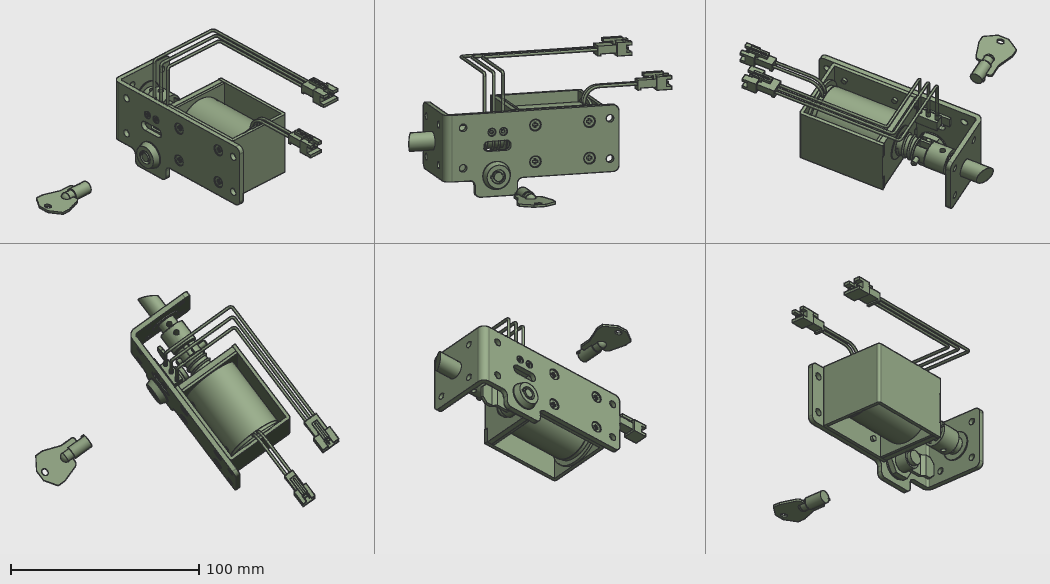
import cadquery as cq
import math


BRACKET_LENGTH = 96.8
BRACKET_DEPTH = 39.1
BRACKET_HEIGHT = 36.2
SHEET = 2.8
BEND_OUTER_RADIUS = 4.1
BRACKET_CORNER = 3.2
TAB_WIDTH = 23.5
TAB_BOTTOM = -27.4
TAB_CORNER = 3.0
MOUNT_HOLE_X = (10.3, 91.9)
MOUNT_HOLE_Z = 11.0
MOUNT_HOLE_DIA = 4.1
LEG_HOLE_DIA = 3.7
SLOT_LENGTH = 15.2
SLOT_WIDTH = 5.4
SLOT_X = 29.3

AXIS_Y = 22.5
BOLT_RADIUS = 5.0
BOLT_TIP_X = -14.6
BOLT_BEVEL_LENGTH = 5.0
COLLAR_RADIUS = 7.2
COLLAR_START = 8.8
COLLAR_END = 20.5
CROSS_HOLE_DIA = 3.0
CROSS_HOLE_X = (6.7, 13.0)
STOP_WASHER_RADIUS = 8.2
STOP_WASHER_THICKNESS = 0.7
ROD_RADIUS = 1.8
ROD_END = 27.4
PLUNGER_RADIUS = 6.0
PLUNGER_START = 21.2
PLUNGER_END = 65.9
FORK_END = 27.4
RETAINER_START = 27.7
RETAINER_END = 28.9
RETAINER_RADIUS = 6.7
LINK_PIN_X = 25.3
LINK_PIN_DIA = 1.8
LINK_HEAD_DIA = 3.1
LINK_HEAD_CHAMFER = 0.6
LINK_PIN_FRONT = 13.8
LINK_PIN_BACK = 33.0
SPRING_START = 29.7
SPRING_PITCH = 3.2
SPRING_TURNS = 2.3
SPRING_WIRE_RADIUS = 0.6

FRAME_START = 38.5
FRAME_END = 88.5
FRAME_WALL = 1.9
FRAME_BACK = 42.5
FRAME_CORNER = 1.5
FACE_PLATE_START = 38.8
FACE_PLATE_END = 41.9
FACE_TAB_HALF = 8.8
FACE_PLATE_DROP = 0.1
BOBBIN_PLATE_END = 43.4
BOBBIN_PLATE_DROP = 0.3
COIL_RADIUS = 15.5
COIL_END = 82.8
CORE_RADIUS = 15.1
END_FLANGE_START = 85.1
SEAT_RADIUS = 9.7
SEAT_START = 38.2

FRAME_SCREW_X = (50.4, 80.5)
FRAME_SCREW_Z = 10.0
FRAME_SCREW_TIP = 6.3
FRAME_SHANK_RADIUS = 1.5
FRAME_HEAD_RADIUS = 3.2
SWITCH_SCREW_X = (26.2, 32.7)
SWITCH_SCREW_Z = 7.6
SWITCH_SHANK_RADIUS = 1.0
SWITCH_HEAD_RADIUS = 2.2
SINK_DEPTH = 2.0
HEAD_DROP = 0.5
CROSS_WIDTH = 1.0
CROSS_DEPTH = 0.7

WIRE_RADIUS = 0.7
WIRE_PITCH = 2.6
COIL_WIRE_PITCH = 3.0
SWITCH_WIRE_Z = 38.4
SWITCH_WIRE_BEND = 1.8
SWITCH_PLUG_X = 98.6
SWITCH_PLUG_Y = 47.8
COIL_WIRE_Z = 23.9
COIL_WIRE_BEND = 8.2
COIL_WIRE_X = 84.0
COIL_PLUG_X = 113.4
PLUG_LENGTH = 18.5
PLUG_REAR_LENGTH = 10.3
PLUG_REAR_HALF = 2.2
PLUG_HEAD_HALF = 3.7
PLUG_LIP_LENGTH = 1.6
PLUG_LIP_DROP = 1.0
SOCKET_START = 15.5
SOCKET_HALF = 1.9
CONTACT_SIZE = 0.6
CONTACT_END = 17.3
LATCH_WIDTH = 3.4
LATCH_START = 3.7
LATCH_END = 14.5
LATCH_BOTTOM = 3.8
LATCH_TIP_BOTTOM = 4.2
LATCH_TOP = 5.5
LATCH_GROOVE_START = 4.7
LATCH_GROOVE_WIDTH = 1.0
LATCH_GROOVE_DEPTH = 0.6
LATCH_POST_START = 9.0

SWITCH_START = 23.0
SWITCH_END = 35.9
SWITCH_BACK = 9.7
SWITCH_BOTTOM = 4.2
SWITCH_TOP = 10.8
SWITCH_BASE_START = 18.2
SWITCH_BASE_END = 37.2
SWITCH_BASE_BACK = 4.2
SWITCH_BASE_TOP = 10.4
TERMINAL_X = (24.3, 29.5, 34.6)
TERMINAL_Y = 7.0
TERMINAL_TOP = 14.2
TERMINAL_RADIUS = 1.2

LOCK_X = 28.7
LOCK_Z = -16.0
LOCK_RIM_RADIUS = 7.6
LOCK_RIM_HEIGHT = 0.6
LOCK_FACE_RADIUS = 6.37
LOCK_FACE_Y = -4.1
KEYWAY_RADIUS = 3.8
KEYWAY_CORE_RADIUS = 2.5
KEYWAY_DEPTH = 2.2
KEYWAY_NOTCH_RADIUS = 4.4
KEYWAY_NOTCH_WIDTH = 1.0
BARREL_RADIUS = 5.3
BARREL_END = 13.9
LOCK_WASHER_RADIUS = 7.9
LOCK_WASHER_END = 3.7
LOCK_NUT_DIA = 17.6
LOCK_NUT_END = 6.9
CAM_NUT_RADIUS = 4.1
CAM_NUT_END = 16.4
CAM_END_X = 10.4
CAM_FRONT = 10.0
CAM_THICKNESS = 1.6
CAM_JOG = 2.0
CAM_JOG_START = 16.8
CAM_JOG_END = 18.9
CAM_TOP = -8.2
CAM_BOTTOM = -21.0
CAM_CORNER = 3.0

KEY_BARREL_RADIUS = 3.5
KEY_BARREL_START = -47.2
KEY_BARREL_END = -58.2
KEY_NECK_RADIUS = 2.85
KEY_NECK_END = -62.3
KEY_TIP_RADIUS = 3.1
KEY_TIP_LENGTH = 2.6
KEY_TIP_ROUND = 3.2
KEY_NUB_RADIUS = 4.2
KEY_NUB_SIZE = 1.0
KEY_NUB_LENGTH = 1.8
KEY_PLATE_THICKNESS = 1.3
KEY_HALF_WIDTH = 10.1
KEY_SHOULDER_X = 6.6
KEY_LEFT_SHOULDER_Y = -52.2
KEY_LEFT_FLARE_Y = -60.4
KEY_LEFT_ROUND = 1.5
KEY_RIGHT_SHOULDER_Y = -59.3
KEY_RIGHT_ROUND = 2.6
KEY_SIDE_TOP = -70.0
KEY_SIDE_BOTTOM = -74.4
KEY_FOOT_HALF = 3.2
KEY_FOOT_Y = -79.0
KEY_HOLE_LENGTH = 4.0
KEY_HOLE_WIDTH = 3.0
KEY_HOLE_Y = -75.7


def box(x0, x1, y0, y1, z0, z1):
    """Axis-aligned block between the given limits."""
    return cq.Workplane("XY").box(x1 - x0, y1 - y0, z1 - z0, centered=False).translate((x0, y0, z0))


def rod_x(x0, x1, radius):
    """Cylinder on the bolt axis."""
    return cq.Workplane("YZ", origin=(x0, AXIS_Y, 0)).circle(radius).extrude(x1 - x0)


def rod_y(y0, y1, radius, x, z):
    """Cylinder parallel to Y."""
    return cq.Workplane("XZ", origin=(x, y0, z)).circle(radius).extrude(y0 - y1)


def turned_y(profile, x, z):
    """Solid turned about an axis parallel to Y; the profile lists (radius, y)."""
    turned = cq.Workplane("XY").polyline(profile).close().revolve(360, (0, 0, 0), (0, 1, 0))
    return turned.translate((x, 0, z))


def countersink(x, z, head_radius, shank_radius):
    """Screw hole through the sheet with a conical seat at its outer face."""
    profile = [(0, 0), (head_radius, 0), (shank_radius, SINK_DEPTH), (shank_radius, SHEET), (0, SHEET)]
    return turned_y(profile, x, z)


def screw(x, z, head_radius, shank_radius, tip):
    """Countersunk screw whose head sits a little below the outer face."""
    flat_radius = head_radius - (head_radius - shank_radius) * HEAD_DROP / SINK_DEPTH
    profile = [
        (0, HEAD_DROP),
        (flat_radius, HEAD_DROP),
        (shank_radius, SINK_DEPTH),
        (shank_radius, tip),
        (0, tip),
    ]
    recess = cq.Workplane("XZ", origin=(x, HEAD_DROP, z)).rect(flat_radius, CROSS_WIDTH)
    recess = recess.extrude(-CROSS_DEPTH)
    recess = recess.union(recess.rotate((x, 0, z), (x, 1, z), 90))
    return turned_y(profile, x, z).cut(recess)


def frame_screw_places():
    """Centres of the four screws that hold the solenoid."""
    return [(x, z) for x in FRAME_SCREW_X for z in (-FRAME_SCREW_Z, FRAME_SCREW_Z)]


def wire(path, start, direction):
    """Round wire swept along a path."""
    return cq.Workplane(cq.Plane(start, normal=direction)).circle(WIRE_RADIUS).sweep(path)


def plug(poles):
    """Cable plug with its rear face at X = 0 and its wires around the origin."""
    rear_half = poles * WIRE_PITCH / 2
    head_half = rear_half + WIRE_PITCH / 2
    latch_half = LATCH_WIDTH / 2
    groove_half = LATCH_GROOVE_WIDTH / 2
    body = box(0, PLUG_REAR_LENGTH, -rear_half, rear_half, -PLUG_REAR_HALF, PLUG_REAR_HALF)
    lip_bottom = -PLUG_REAR_HALF - PLUG_LIP_DROP
    body = body.union(box(0, PLUG_LIP_LENGTH, -rear_half, rear_half, lip_bottom, 0))
    head = box(PLUG_REAR_LENGTH, PLUG_LENGTH, -head_half, head_half, -PLUG_HEAD_HALF, PLUG_HEAD_HALF)
    head = head.cut(box(SOCKET_START, PLUG_LENGTH, -head_half, head_half, -SOCKET_HALF, SOCKET_HALF))
    head = head.cut(box(LATCH_END, PLUG_LENGTH, -latch_half, latch_half, 0, PLUG_HEAD_HALF))
    body = body.union(head)
    for i in range(poles):
        y = (i - (poles - 1) / 2) * WIRE_PITCH
        half = CONTACT_SIZE / 2
        body = body.union(box(PLUG_REAR_LENGTH, CONTACT_END, y - half, y + half, -half, half))
    latch = box(LATCH_START, LATCH_END, -latch_half, latch_half, LATCH_BOTTOM, LATCH_TOP)
    latch = latch.cut(box(PLUG_REAR_LENGTH, LATCH_END, -latch_half, latch_half, 0, LATCH_TIP_BOTTOM))
    groove_floor = LATCH_TOP - LATCH_GROOVE_DEPTH
    latch = latch.cut(box(LATCH_GROOVE_START, LATCH_END, -groove_half, groove_half, groove_floor, LATCH_TOP))
    post = box(LATCH_POST_START, PLUG_REAR_LENGTH, -latch_half, latch_half, 0, LATCH_TIP_BOTTOM)
    return body.union(latch).union(post)


def make_bracket():
    """L-shaped sheet with a tab for the lock and all its holes."""
    top = BRACKET_HEIGHT / 2
    outer = box(0, BRACKET_LENGTH, 0, BRACKET_DEPTH, -top, top)
    outer = outer.edges("|Z and <X and <Y").fillet(BEND_OUTER_RADIUS)
    inner = box(SHEET, BRACKET_LENGTH, SHEET, BRACKET_DEPTH, -top, top)
    inner = inner.edges("|Z and <X and <Y").fillet(BEND_OUTER_RADIUS - SHEET)
    bracket = outer.cut(inner)
    bracket = bracket.edges("(|Y and >X) or (|X and >Y)").fillet(BRACKET_CORNER)

    tab_left = LOCK_X - TAB_WIDTH / 2
    tab_right = LOCK_X + TAB_WIDTH / 2
    tab = box(tab_left, tab_right, 0, SHEET, TAB_BOTTOM, 0).edges("|Y and <Z").fillet(TAB_CORNER)
    bracket = bracket.union(tab)
    for x in (tab_left, tab_right):
        root = cq.selectors.NearestToPointSelector((x, SHEET / 2, -top))
        bracket = bracket.edges(root).fillet(TAB_CORNER)

    for z in (-MOUNT_HOLE_Z, MOUNT_HOLE_Z):
        for x in MOUNT_HOLE_X:
            bracket = bracket.cut(rod_y(0, SHEET, MOUNT_HOLE_DIA / 2, x, z))
        for y in (AXIS_Y - MOUNT_HOLE_Z, AXIS_Y + MOUNT_HOLE_Z):
            leg_hole = cq.Workplane("YZ", origin=(0, y, z)).circle(LEG_HOLE_DIA / 2)
            bracket = bracket.cut(leg_hole.extrude(SHEET))
    slot = cq.Workplane("XZ", origin=(SLOT_X, 0, 0)).slot2D(SLOT_LENGTH, SLOT_WIDTH).extrude(-SHEET)
    bracket = bracket.cut(slot)
    bracket = bracket.cut(rod_x(0, SHEET, BOLT_RADIUS))
    bracket = bracket.cut(rod_y(0, SHEET, BARREL_RADIUS, LOCK_X, LOCK_Z))
    for x, z in frame_screw_places():
        bracket = bracket.cut(countersink(x, z, FRAME_HEAD_RADIUS, FRAME_SHANK_RADIUS))
    for x in SWITCH_SCREW_X:
        bracket = bracket.cut(countersink(x, SWITCH_SCREW_Z, SWITCH_HEAD_RADIUS, SWITCH_SHANK_RADIUS))
    return bracket


def solenoid_frame():
    """U-shaped yoke, notched at its open end and closed by a face plate."""
    top = BRACKET_HEIGHT / 2
    front = SHEET + FRAME_WALL
    back = FRAME_BACK - FRAME_WALL
    inner_end = FRAME_END - FRAME_WALL
    frame = box(FRAME_START, FRAME_END, SHEET, FRAME_BACK, -top, top).edges("|Z and >X").fillet(FRAME_CORNER)
    frame = frame.cut(box(FRAME_START, inner_end, front, back, -top, top))
    notch = box(FRAME_START, FACE_PLATE_START, SHEET, FRAME_BACK, -FACE_TAB_HALF, FACE_TAB_HALF)
    face_top = top - FACE_PLATE_DROP
    face_plate = box(FACE_PLATE_START, FACE_PLATE_END, front, back, -face_top, face_top)
    bobbin_top = top - BOBBIN_PLATE_DROP
    bobbin_plate = box(FACE_PLATE_END, BOBBIN_PLATE_END, front, back, -bobbin_top, bobbin_top)
    return frame.cut(notch).union(face_plate).union(bobbin_plate)


def make_solenoid():
    """Yoke, coil, fixing screws and the coil's two-wire cable with its plug."""
    inner_end = FRAME_END - FRAME_WALL
    flange_radius = AXIS_Y - SHEET - FRAME_WALL
    solenoid = solenoid_frame()
    solenoid = solenoid.union(rod_x(FACE_PLATE_END, COIL_END, COIL_RADIUS))
    solenoid = solenoid.union(rod_x(COIL_END, inner_end, CORE_RADIUS))
    solenoid = solenoid.union(rod_x(END_FLANGE_START, inner_end, flange_radius))
    solenoid = solenoid.union(rod_x(SEAT_START, FACE_PLATE_END, SEAT_RADIUS))
    solenoid = solenoid.cut(rod_x(SEAT_START, PLUNGER_END, PLUNGER_RADIUS))
    for x, z in frame_screw_places():
        solenoid = solenoid.union(screw(x, z, FRAME_HEAD_RADIUS, FRAME_SHANK_RADIUS, FRAME_SCREW_TIP))

    wire_foot = CORE_RADIUS - 2 * WIRE_RADIUS
    corner_z = COIL_WIRE_Z - COIL_WIRE_BEND
    middle_angle = math.radians(45)
    middle_x = COIL_WIRE_X + COIL_WIRE_BEND * (1 - math.cos(middle_angle))
    middle_z = corner_z + COIL_WIRE_BEND * math.sin(middle_angle)
    for y in (AXIS_Y - COIL_WIRE_PITCH / 2, AXIS_Y + COIL_WIRE_PITCH / 2):
        path = (
            cq.Workplane("XZ", origin=(0, y, 0))
            .moveTo(COIL_WIRE_X, wire_foot)
            .lineTo(COIL_WIRE_X, corner_z)
            .threePointArc((middle_x, middle_z), (COIL_WIRE_X + COIL_WIRE_BEND, COIL_WIRE_Z))
            .lineTo(COIL_PLUG_X + WIRE_RADIUS, COIL_WIRE_Z)
        )
        solenoid = solenoid.union(wire(path, (COIL_WIRE_X, y, wire_foot), (0, 0, 1)))
    return solenoid.union(plug(2).translate((COIL_PLUG_X, AXIS_Y, COIL_WIRE_Z)))


def make_bolt():
    """Bevelled bolt with a stop washer, a drilled collar and the rod that enters the plunger."""
    bolt = rod_x(BOLT_TIP_X, COLLAR_START, BOLT_RADIUS)
    front = AXIS_Y - BOLT_RADIUS
    back = AXIS_Y + BOLT_RADIUS
    bevel = [(BOLT_TIP_X, front), (BOLT_TIP_X + BOLT_BEVEL_LENGTH, back), (BOLT_TIP_X, back)]
    wedge = cq.Workplane("XY").polyline(bevel).close().extrude(BOLT_RADIUS, both=True)
    bolt = bolt.cut(wedge)
    bolt = bolt.union(rod_x(SHEET, SHEET + STOP_WASHER_THICKNESS, STOP_WASHER_RADIUS))
    bolt = bolt.union(rod_x(COLLAR_START, COLLAR_END, COLLAR_RADIUS))
    bolt = bolt.union(rod_x(COLLAR_END, ROD_END, ROD_RADIUS))
    for x in CROSS_HOLE_X:
        hole = cq.Workplane("XY", origin=(x, AXIS_Y, 0)).circle(CROSS_HOLE_DIA / 2)
        bolt = bolt.cut(hole.extrude(COLLAR_RADIUS, both=True))
    return bolt.cut(rod_y(LINK_PIN_FRONT, LINK_PIN_BACK, LINK_PIN_DIA / 2, LINK_PIN_X, 0))


def return_spring():
    """Helical wire partly sunk into the plunger surface."""
    coil_radius = PLUNGER_RADIUS + SPRING_WIRE_RADIUS / 2
    length = SPRING_PITCH * SPRING_TURNS
    helix = cq.Wire.makeHelix(SPRING_PITCH, length, coil_radius)
    section = cq.Workplane("XZ", origin=(coil_radius, 0, 0)).circle(SPRING_WIRE_RADIUS)
    spring = section.sweep(helix, isFrenet=True)
    return spring.rotate((0, 0, 0), (0, 1, 0), 90).translate((SPRING_START, AXIS_Y, 0))


def make_plunger():
    """Forked plunger with its link pin, retaining ring and return spring."""
    plunger = rod_x(PLUNGER_START, PLUNGER_END, PLUNGER_RADIUS)
    fork_slot = box(
        PLUNGER_START, FORK_END, AXIS_Y - ROD_RADIUS, AXIS_Y + ROD_RADIUS, -PLUNGER_RADIUS, PLUNGER_RADIUS
    )
    plunger = plunger.cut(fork_slot)
    pin = rod_y(LINK_PIN_FRONT, LINK_PIN_BACK, LINK_HEAD_DIA / 2, LINK_PIN_X, 0)
    pin = pin.faces("<Y or >Y").chamfer(LINK_HEAD_CHAMFER).cut(fork_slot)
    shank = rod_y(LINK_PIN_FRONT, LINK_PIN_BACK, LINK_PIN_DIA / 2, LINK_PIN_X, 0)
    retainer = rod_x(RETAINER_START, RETAINER_END, RETAINER_RADIUS)
    return plunger.union(retainer).union(pin).union(shank).union(return_spring())


def lock_cam():
    """Cranked arm from the lock barrel toward the bolt end of the bracket."""
    jog_front = CAM_FRONT + CAM_JOG
    crank = [
        (CAM_END_X, jog_front),
        (CAM_JOG_START, jog_front),
        (CAM_JOG_END, CAM_FRONT),
        (LOCK_X, CAM_FRONT),
        (LOCK_X, CAM_FRONT + CAM_THICKNESS),
        (CAM_JOG_END, CAM_FRONT + CAM_THICKNESS),
        (CAM_JOG_START, jog_front + CAM_THICKNESS),
        (CAM_END_X, jog_front + CAM_THICKNESS),
    ]
    arm = cq.Workplane("XY", origin=(0, 0, CAM_BOTTOM)).polyline(crank).close().extrude(CAM_TOP - CAM_BOTTOM)
    return arm.edges("|Y and <X").chamfer(CAM_CORNER)


def make_lock():
    """Tubular lock with its washer, nut, cam and cam nut."""
    head = [
        (0, 0),
        (LOCK_RIM_RADIUS, 0),
        (LOCK_RIM_RADIUS, -LOCK_RIM_HEIGHT),
        (LOCK_FACE_RADIUS, LOCK_FACE_Y),
        (0, LOCK_FACE_Y),
    ]
    floor = LOCK_FACE_Y + KEYWAY_DEPTH
    keyway = rod_y(LOCK_FACE_Y, floor, KEYWAY_RADIUS, LOCK_X, LOCK_Z)
    half = KEYWAY_NOTCH_WIDTH / 2
    notch = box(LOCK_X - KEYWAY_NOTCH_RADIUS, LOCK_X, LOCK_FACE_Y, floor, LOCK_Z - half, LOCK_Z + half)
    core = rod_y(LOCK_FACE_Y, floor, KEYWAY_CORE_RADIUS, LOCK_X, LOCK_Z)
    lock = turned_y(head, LOCK_X, LOCK_Z).cut(keyway.union(notch).cut(core))

    nut = cq.Workplane("XZ", origin=(LOCK_X, LOCK_WASHER_END, LOCK_Z)).polygon(6, LOCK_NUT_DIA)
    lock = lock.union(rod_y(0, BARREL_END, BARREL_RADIUS, LOCK_X, LOCK_Z))
    lock = lock.union(rod_y(SHEET, LOCK_WASHER_END, LOCK_WASHER_RADIUS, LOCK_X, LOCK_Z))
    lock = lock.union(nut.extrude(LOCK_WASHER_END - LOCK_NUT_END))
    lock = lock.union(rod_y(BARREL_END, CAM_NUT_END, CAM_NUT_RADIUS, LOCK_X, LOCK_Z))
    return lock.union(lock_cam())


def switch_wire(x, run_y):
    """Wire that rises from a terminal, turns back in +Y and then runs along X into the plug."""
    bend = SWITCH_WIRE_BEND
    inset = bend * (1 - math.sqrt(0.5))
    rise_start = cq.Vector(x, TERMINAL_Y, SWITCH_TOP)
    rise_end = cq.Vector(x, TERMINAL_Y, SWITCH_WIRE_Z - bend)
    first_middle = cq.Vector(x, TERMINAL_Y + inset, SWITCH_WIRE_Z - inset)
    reach_start = cq.Vector(x, TERMINAL_Y + bend, SWITCH_WIRE_Z)
    reach_end = cq.Vector(x, run_y - bend, SWITCH_WIRE_Z)
    second_middle = cq.Vector(x + inset, run_y - inset, SWITCH_WIRE_Z)
    run_start = cq.Vector(x + bend, run_y, SWITCH_WIRE_Z)
    run_end = cq.Vector(SWITCH_PLUG_X + WIRE_RADIUS, run_y, SWITCH_WIRE_Z)
    path = cq.Wire.assembleEdges(
        [
            cq.Edge.makeLine(rise_start, rise_end),
            cq.Edge.makeThreePointArc(rise_end, first_middle, reach_start),
            cq.Edge.makeLine(reach_start, reach_end),
            cq.Edge.makeThreePointArc(reach_end, second_middle, run_start),
            cq.Edge.makeLine(run_start, run_end),
        ]
    )
    return wire(path, (x, TERMINAL_Y, SWITCH_TOP), (0, 0, 1))


def make_switch():
    """Microswitch on its base, with its screws and three-wire cable."""
    switch = box(SWITCH_START, SWITCH_END, SWITCH_BASE_BACK, SWITCH_BACK, SWITCH_BOTTOM, SWITCH_TOP)
    base = box(SWITCH_BASE_START, SWITCH_BASE_END, SHEET, SWITCH_BASE_BACK, SWITCH_BOTTOM, SWITCH_BASE_TOP)
    switch = switch.union(base)
    for x in SWITCH_SCREW_X:
        switch = switch.union(screw(x, SWITCH_SCREW_Z, SWITCH_HEAD_RADIUS, SWITCH_SHANK_RADIUS, SWITCH_BACK))
    for i, x in enumerate(TERMINAL_X):
        run_y = SWITCH_PLUG_Y + (1 - i) * WIRE_PITCH
        terminal = cq.Workplane("XY", origin=(x, TERMINAL_Y, SWITCH_TOP)).circle(TERMINAL_RADIUS)
        switch = switch.union(terminal.extrude(TERMINAL_TOP - SWITCH_TOP)).union(switch_wire(x, run_y))
    return switch.union(plug(3).translate((SWITCH_PLUG_X, SWITCH_PLUG_Y, SWITCH_WIRE_Z)))


def key_stem():
    """Turned barrel, neck and rounded tip of the key."""
    profile = (
        cq.Workplane("XY")
        .moveTo(0, KEY_BARREL_START)
        .lineTo(KEY_BARREL_RADIUS, KEY_BARREL_START)
        .lineTo(KEY_BARREL_RADIUS, KEY_BARREL_END)
        .lineTo(KEY_NECK_RADIUS, KEY_BARREL_END)
        .lineTo(KEY_NECK_RADIUS, KEY_NECK_END)
        .lineTo(KEY_TIP_RADIUS, KEY_NECK_END)
        .radiusArc((0, KEY_NECK_END - KEY_TIP_LENGTH), KEY_TIP_ROUND)
        .close()
    )
    return profile.revolve(360, (0, 0, 0), (0, 1, 0)).translate((LOCK_X, 0, LOCK_Z))


def key_grip():
    """Flat grip with a shoulder on each side of the stem and a hole for a ring."""
    outline = [
        (0, KEY_LEFT_SHOULDER_Y),
        (-KEY_SHOULDER_X, KEY_LEFT_SHOULDER_Y),
        (-KEY_SHOULDER_X, KEY_LEFT_FLARE_Y),
        (-KEY_HALF_WIDTH, KEY_SIDE_TOP),
        (-KEY_HALF_WIDTH, KEY_SIDE_BOTTOM),
        (-KEY_FOOT_HALF, KEY_FOOT_Y),
        (KEY_FOOT_HALF, KEY_FOOT_Y),
        (KEY_HALF_WIDTH, KEY_SIDE_BOTTOM),
        (KEY_HALF_WIDTH, KEY_SIDE_TOP),
        (KEY_SHOULDER_X, KEY_RIGHT_SHOULDER_Y),
        (0, KEY_RIGHT_SHOULDER_Y),
    ]
    grip = cq.Workplane("XY", origin=(LOCK_X, 0, LOCK_Z)).polyline(outline).close()
    grip = grip.extrude(KEY_PLATE_THICKNESS / 2, both=True)
    shoulders = (
        (-KEY_SHOULDER_X, KEY_LEFT_SHOULDER_Y, KEY_LEFT_ROUND),
        (KEY_SHOULDER_X, KEY_RIGHT_SHOULDER_Y, KEY_RIGHT_ROUND),
    )
    for x, y, radius in shoulders:
        corner = cq.selectors.NearestToPointSelector((LOCK_X + x, y, LOCK_Z))
        grip = grip.edges(corner).fillet(radius)
    hole = cq.Workplane("XY", origin=(LOCK_X, KEY_HOLE_Y, LOCK_Z)).slot2D(KEY_HOLE_LENGTH, KEY_HOLE_WIDTH)
    return grip.cut(hole.extrude(KEY_PLATE_THICKNESS, both=True))


def make_key():
    """Tubular key with a locating nub at the end of its barrel."""
    half = KEY_NUB_SIZE / 2
    nub_end = KEY_BARREL_START - KEY_NUB_LENGTH
    nub = box(LOCK_X - KEY_NUB_RADIUS, LOCK_X, nub_end, KEY_BARREL_START, LOCK_Z - half, LOCK_Z + half)
    return key_stem().union(key_grip()).union(nub)


bracket = make_bracket()
solenoid = make_solenoid()
bolt = make_bolt()
plunger = make_plunger()
lock = make_lock()
switch = make_switch()
key = make_key()

bodies = (bracket, solenoid, bolt, plunger, lock, switch, key)
result = cq.Compound.makeCompound([solid for body in bodies for solid in body.solids().vals()])